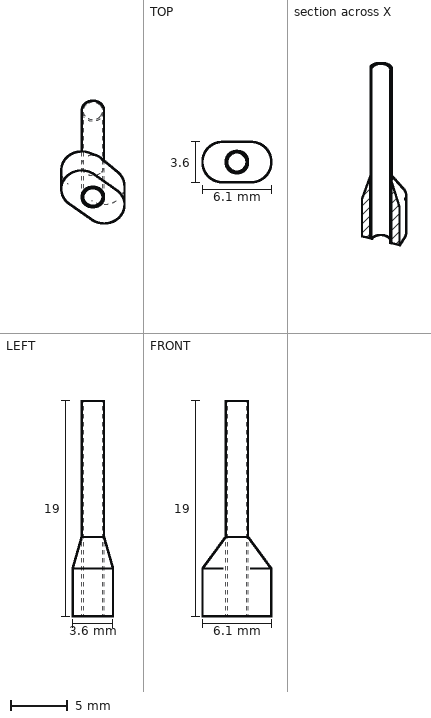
import cadquery as cq

collar_length = 6.1
collar_width = 3.6
base_height = 4.2
collar_height = 7.0

total_height = 19.0
tube_diameter = 2.0
bore_diameter = 1.7

collar_radius = collar_width / 2
tube_radius = tube_diameter / 2
end_offset = collar_length / 2 - collar_radius
taper_height = collar_height - base_height


def half_disc(z, center_x, radius, side):
    """Closed outline of a half disc bulging to the given side (+1 or -1) along X."""
    return (
        cq.Workplane("XY", origin=(center_x, 0, z))
        .moveTo(0, -radius)
        .threePointArc((side * radius, 0), (0, radius))
        .close()
        .val()
    )


def taper_end(side):
    """Half of an oblique cone, from one round end of the base up to the tube."""
    lower = half_disc(base_height, side * end_offset, collar_radius, side)
    upper = half_disc(collar_height, 0, tube_radius, side)
    return cq.Workplane(cq.Solid.makeLoft([lower, upper], True))


def taper_middle():
    """Wedge with flat triangular sides that fills the space between the two taper ends."""
    triangle = (
        cq.Workplane("XZ", origin=(0, 0, base_height))
        .polyline([(-end_offset, 0), (end_offset, 0), (0, taper_height)])
        .close()
        .extrude(collar_radius, both=True)
    )
    trapezoid = (
        cq.Workplane("YZ", origin=(0, 0, base_height))
        .polyline([
            (-collar_radius, 0),
            (collar_radius, 0),
            (tube_radius, taper_height),
            (-tube_radius, taper_height),
        ])
        .close()
        .extrude(end_offset, both=True)
    )
    return triangle.intersect(trapezoid)


def make_collar():
    """Insulating collar with a through hole that fits the tube."""
    collar = cq.Workplane("XY").slot2D(collar_length, collar_width).extrude(base_height)
    collar = collar.union(taper_middle())
    for side in (-1, 1):
        collar = collar.union(taper_end(side))
    tube_hole = cq.Workplane("XY").circle(tube_radius).extrude(collar_height)
    return collar.cut(tube_hole)


def make_tube():
    """Thin-walled crimp tube, open at both ends."""
    return (
        cq.Workplane("XY")
        .circle(tube_radius)
        .circle(bore_diameter / 2)
        .extrude(total_height)
    )


collar = make_collar()
tube = make_tube()

result = cq.Compound.makeCompound([collar.val(), tube.val()])